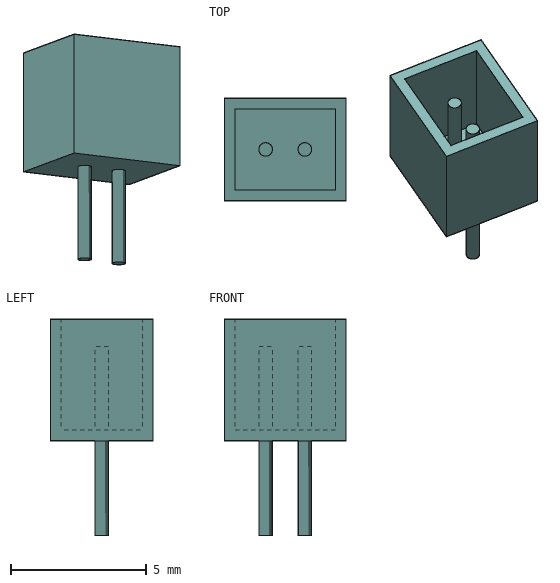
import cadquery as cq

housing_length = 4.5
housing_width = 3.8
housing_height = 4.5
wall = 0.4
floor_thickness = wall

pin_diameter = 0.5
pin_pitch = 1.45
pin_drop = 3.5
pin_rise = 3.5


def make_housing():
    """Rectangular box with a deep rectangular cavity open at the top."""
    body = cq.Workplane("XY").box(
        housing_length, housing_width, housing_height, centered=(True, True, False)
    )
    cavity = (
        cq.Workplane("XY", origin=(0, 0, floor_thickness))
        .rect(housing_length - 2 * wall, housing_width - 2 * wall)
        .extrude(housing_height - floor_thickness)
    )
    return body.cut(cavity)


def make_pin(x):
    """Round pin standing upright on the X axis at the given position."""
    return (
        cq.Workplane("XY", origin=(x, 0, -pin_drop))
        .circle(pin_diameter / 2)
        .extrude(pin_drop + pin_rise)
    )


result = make_housing()
for side in (-1, 1):
    result = result.union(make_pin(side * pin_pitch / 2))